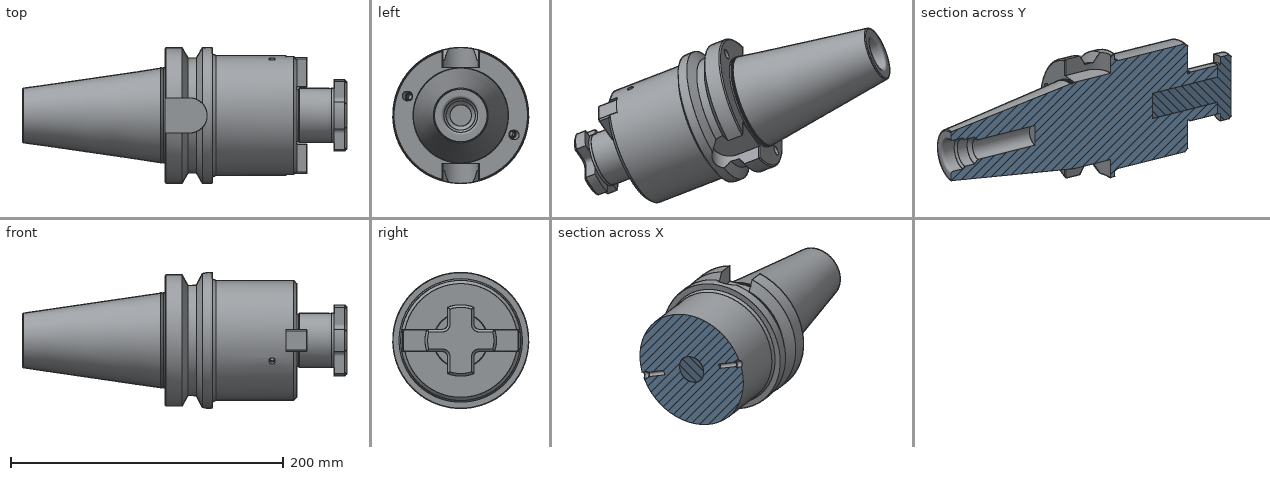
import cadquery as cq
import math

TAPER_END_X = 101.7
FLANGE_X = 104.8
FLANGE_FRONT_X = 139.7
BODY_FRONT_X = 201.8
PILOT_FRONT_X = 227.3
HEAD_X = 229.2
FRONT_X = 238.8

TAPER_SLOPE = 7 / 48
TAPER_END_R = 34.9
TAPER_START_R = TAPER_END_R - TAPER_END_X * TAPER_SLOPE
TAPER_CHAMFER = 0.7
RELIEF_R = 34.6
RELIEF_X = 102.7
RELIEF_WIDTH = 1.0
LIP_R = 35.0
FLANGE_R = 50.03
FLANGE_CHAMFER = 1.0
FLANGE_RIM_LENGTH = 1.5
FLANGE_RIM_DROP = 0.2
GROOVE_R = 42.5
GROOVE_FLOOR_X = 121.8
GROOVE_FLOOR_WIDTH = 6.2
GROOVE_FLANK_ANGLE = 30
GROOVE_FLANK = (FLANGE_R - GROOVE_R) * math.tan(math.radians(GROOVE_FLANK_ANGLE))

BODY_R = 44.2
BODY_CHAMFER = 2.5
BODY_ROOT_LENGTH = 2.6
BODY_ROOT_RISE = 1.2
PILOT_R = 20.0
PILOT_CHAMFER = 0.7
PILOT_LEAD_LENGTH = 2.1
PILOT_LEAD_DROP = 0.2
PILOT_RELIEF_R = 19.0
PILOT_RELIEF_WIDTH = 1.2

SLOT_WIDTH = 25.8
SLOT_FLOOR_Z = 35.3
SLOT_END_X = 135.9
SLOT_CHAMFER = 0.7

BORE_R = 12.5
BORE_MOUTH_RADIUS = 2.1
BORE_DEPTH = 10.3
THREAD_R = 10.7
THREAD_DEPTH = 20.3
BORE_END_R = 7.9
BORE_END_DEPTH = 71.6

COOLANT_ANGLE = 20
COOLANT_R = 3.46
COOLANT_MOUTH_RADIUS = 41.8
COOLANT_TILT = 20
COOLANT_DEPTH = 19.0
PLUG_INSET = 4.8
PLUG_SOCKET_WIDTH = 4.0
PLUG_SOCKET_DEPTH = 4.0
PLUG_CHAMFER = 0.7

RADIAL_HOLE_X = 183.6
RADIAL_HOLE_R = 2.27
RADIAL_HOLE_DEPTH = 4.5
RADIAL_PILOT_R = 1.55
RADIAL_PILOT_DEPTH = 19.0

KEY_WIDTH = 16.2
KEY_X = 193.7
KEY_LENGTH = 15.8
KEY_INNER_Y = 21.0
KEY_OUTER_Y = 42.7
KEY_SIDE_CHAMFER = 1.2
KEY_FRONT_CHAMFER = 0.5

HEAD_R = 26.3
LOBE_Y_WIDTH = 16.5
LOBE_Z_WIDTH = 19.5
HEAD_FILLET = 3.5
HEAD_CHAMFER = 2.0
SHANK_R = 10.0
SHANK_LENGTH = 57.3


def rod(radius, start_x, end_x):
    """Cylinder on the X axis."""
    return cq.Workplane("YZ", origin=(start_x, 0, 0)).circle(radius).extrude(end_x - start_x)


def turned(points):
    """Solid of revolution about the X axis from an (x, radius) outline."""
    return cq.Workplane("XZ").polyline(points).close().revolve(360, (0, 0, 0), (1, 0, 0))


def on_side(solid, side, offset_angle=0):
    """Turn a solid about the X axis: side 0 keeps its side, side 1 takes the opposite one."""
    return solid.rotate((0, 0, 0), (1, 0, 0), offset_angle + 180 * side)


def make_blank():
    """Turned outside of the arbor."""
    groove_end_x = GROOVE_FLOOR_X + GROOVE_FLOOR_WIDTH
    relief_end_x = BODY_FRONT_X + PILOT_RELIEF_WIDTH
    return turned([
        (0, 0),
        (0, TAPER_START_R - TAPER_CHAMFER),
        (TAPER_CHAMFER, TAPER_START_R + TAPER_CHAMFER * TAPER_SLOPE),
        (TAPER_END_X, TAPER_END_R),
        (TAPER_END_X, LIP_R),
        (RELIEF_X, LIP_R),
        (RELIEF_X, RELIEF_R),
        (RELIEF_X + RELIEF_WIDTH, RELIEF_R),
        (RELIEF_X + RELIEF_WIDTH, LIP_R),
        (FLANGE_X, LIP_R),
        (FLANGE_X, FLANGE_R - FLANGE_CHAMFER),
        (FLANGE_X + FLANGE_CHAMFER, FLANGE_R),
        (GROOVE_FLOOR_X - GROOVE_FLANK, FLANGE_R),
        (GROOVE_FLOOR_X, GROOVE_R),
        (groove_end_x, GROOVE_R),
        (groove_end_x + GROOVE_FLANK, FLANGE_R),
        (FLANGE_FRONT_X - FLANGE_RIM_LENGTH, FLANGE_R),
        (FLANGE_FRONT_X, FLANGE_R - FLANGE_RIM_DROP),
        (FLANGE_FRONT_X, BODY_R + BODY_ROOT_RISE),
        (FLANGE_FRONT_X + BODY_ROOT_LENGTH, BODY_R),
        (BODY_FRONT_X - BODY_CHAMFER, BODY_R),
        (BODY_FRONT_X, BODY_R - BODY_CHAMFER),
        (BODY_FRONT_X, PILOT_RELIEF_R),
        (relief_end_x, PILOT_RELIEF_R),
        (relief_end_x, PILOT_R - PILOT_CHAMFER),
        (relief_end_x + PILOT_CHAMFER, PILOT_R),
        (PILOT_FRONT_X - PILOT_LEAD_LENGTH, PILOT_R),
        (PILOT_FRONT_X, PILOT_R - PILOT_LEAD_DROP),
        (PILOT_FRONT_X, 0),
    ])


def make_rear_bore():
    """Stepped blind bore with a rounded mouth and 45 degree steps."""
    round_mid = BORE_MOUTH_RADIUS * (1 - math.sqrt(0.5))
    return (
        cq.Workplane("XY")
        .moveTo(0, 0)
        .lineTo(0, BORE_R + BORE_MOUTH_RADIUS)
        .threePointArc((round_mid, BORE_R + round_mid), (BORE_MOUTH_RADIUS, BORE_R))
        .lineTo(BORE_DEPTH, BORE_R)
        .lineTo(BORE_DEPTH + BORE_R - THREAD_R, THREAD_R)
        .lineTo(THREAD_DEPTH, THREAD_R)
        .lineTo(THREAD_DEPTH + THREAD_R - BORE_END_R, BORE_END_R)
        .lineTo(BORE_END_DEPTH, BORE_END_R)
        .lineTo(BORE_END_DEPTH, 0)
        .close()
        .revolve(360, (0, 0, 0), (1, 0, 0))
    )


def make_flange_slot():
    """Round-ended slot on the +Z side, open towards the rear, with its rear edges chamfered."""
    half_width = SLOT_WIDTH / 2
    round_x = SLOT_END_X - half_width
    slot = (
        cq.Workplane("XY", origin=(0, 0, SLOT_FLOOR_Z))
        .moveTo(FLANGE_X, -half_width)
        .lineTo(round_x, -half_width)
        .threePointArc((SLOT_END_X, 0), (round_x, half_width))
        .lineTo(FLANGE_X, half_width)
        .close()
        .extrude(FLANGE_R - SLOT_FLOOR_Z)
    )
    flare = (
        cq.Workplane("XY", origin=(0, 0, SLOT_FLOOR_Z))
        .moveTo(FLANGE_X, -half_width - SLOT_CHAMFER)
        .lineTo(FLANGE_X + SLOT_CHAMFER, -half_width)
        .lineTo(FLANGE_X + SLOT_CHAMFER, half_width)
        .lineTo(FLANGE_X, half_width + SLOT_CHAMFER)
        .close()
        .extrude(FLANGE_R - SLOT_FLOOR_Z)
    )
    return slot.union(flare)


def coolant_plane():
    """Workplane at a coolant mouth on the +Y side, its normal pointing into the flange."""
    tilt = math.radians(COOLANT_TILT)
    return cq.Workplane(
        cq.Plane(
            origin=(FLANGE_X, COOLANT_MOUTH_RADIUS, 0),
            xDir=(0, 0, 1),
            normal=(math.cos(tilt), -math.sin(tilt), 0),
        )
    )


def make_coolant_hole(side):
    """Blind hole from the flange face, leaning towards the axis."""
    hole = coolant_plane().workplane(offset=-COOLANT_R).circle(COOLANT_R).extrude(COOLANT_R + COOLANT_DEPTH)
    return on_side(hole, side, COOLANT_ANGLE)


def make_plug(side):
    """Hexagon socket plug that fills the coolant hole below its mouth."""
    top = coolant_plane().workplane(offset=PLUG_INSET)
    socket_diameter = PLUG_SOCKET_WIDTH / math.cos(math.pi / 6)
    plug = top.circle(COOLANT_R).extrude(COOLANT_DEPTH - PLUG_INSET)
    plug = plug.faces("<X").edges().chamfer(PLUG_CHAMFER)
    plug = plug.cut(top.polygon(6, socket_diameter).extrude(PLUG_SOCKET_DEPTH))
    return on_side(plug, side, COOLANT_ANGLE)


def make_radial_hole(side):
    """Stepped blind hole from the side of the body."""
    mouth = cq.Workplane("XZ", origin=(RADIAL_HOLE_X, BODY_R, 0))
    hole = mouth.circle(RADIAL_HOLE_R).extrude(RADIAL_HOLE_DEPTH)
    pilot = mouth.circle(RADIAL_PILOT_R).extrude(RADIAL_PILOT_DEPTH)
    return on_side(hole.union(pilot), side, COOLANT_ANGLE)


def key_block(outer_y):
    """Block on the +Y side with the width and length of a key."""
    return cq.Workplane("XY").box(
        KEY_LENGTH, outer_y - KEY_INNER_Y, KEY_WIDTH, centered=(False, False, True)
    ).translate((KEY_X, KEY_INNER_Y, 0))


def make_key(side):
    key = key_block(KEY_OUTER_Y).faces(">Y").edges("|X").chamfer(KEY_SIDE_CHAMFER)
    key = key.faces(">X").edges().chamfer(KEY_FRONT_CHAMFER)
    return on_side(key, side)


def make_key_seat(side):
    """Key space, continued out through the side of the body."""
    return on_side(key_block(BODY_R), side)


def make_shank():
    return rod(SHANK_R, HEAD_X - SHANK_LENGTH, HEAD_X)


def make_screw():
    """Clamping screw with a four-lobed head."""
    head_length = FRONT_X - HEAD_X
    across = 2 * HEAD_R
    underside = cq.Workplane("YZ", origin=(HEAD_X, 0, 0))
    cross = underside.rect(across, LOBE_Y_WIDTH).extrude(head_length)
    cross = cross.union(underside.rect(LOBE_Z_WIDTH, across).extrude(head_length))
    inner_corners = cq.selectors.BoxSelector(
        (HEAD_X, -LOBE_Z_WIDTH, -LOBE_Y_WIDTH), (FRONT_X, LOBE_Z_WIDTH, LOBE_Y_WIDTH)
    )
    cross = cross.edges("|X").edges(inner_corners).fillet(HEAD_FILLET)
    head = cross.intersect(rod(HEAD_R, HEAD_X, FRONT_X)).faces(">X").edges().chamfer(HEAD_CHAMFER)
    collar = rod(PILOT_R, PILOT_FRONT_X, HEAD_X)
    return head.union(collar).union(make_shank())


def make_arbor():
    arbor = make_blank().cut(make_rear_bore()).cut(make_shank())
    slot = make_flange_slot()
    for side in range(2):
        arbor = arbor.cut(on_side(slot, side))
        arbor = arbor.cut(make_coolant_hole(side))
        arbor = arbor.cut(make_radial_hole(side))
        arbor = arbor.cut(make_key_seat(side))
    return arbor


arbor = make_arbor()
keys = [make_key(side) for side in range(2)]
plugs = [make_plug(side) for side in range(2)]
screw = make_screw()

result = cq.Compound.makeCompound(
    [arbor.val(), screw.val(), *[key.val() for key in keys], *[plug.val() for plug in plugs]]
)